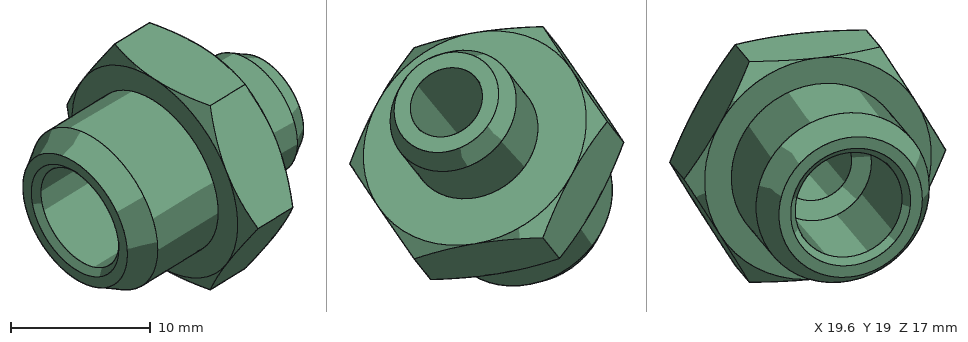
import cadquery as cq
import math

across_corners = 19.63
across_flats = across_corners * math.cos(math.radians(30))
hex_width = 5.0
hex_chamfer_angle = 30.0

front_length = 7.99
front_radius = 6.5
front_taper_length = 1.95
rear_length = 6.0
rear_radius = 4.8
rear_taper_length = 1.43
taper_angle = 30.0

through_radius = 2.75
counterbore_radius = 4.0
counterbore_depth = 7.99
counterbore_floor_angle = 59.0
mouth_radius = 4.5
mouth_angle = 45.0

hex_front = -hex_width / 2
hex_rear = hex_width / 2
front_end = hex_front - front_length
rear_end = hex_rear + rear_length


def tangent(angle):
    return math.tan(math.radians(angle))


def revolve_profile(points):
    """Turn a closed (radius, y) outline about the Y axis."""
    return cq.Workplane("XY").polyline(points).close().revolve(360, (0, 0, 0), (0, 1, 0))


def make_hexagon():
    """Hexagonal prism with both ends chamfered down to the flats."""
    prism = (
        cq.Workplane("XZ", origin=(0, hex_rear, 0))
        .polygon(6, across_corners)
        .extrude(hex_width)
    )
    flat_radius = across_flats / 2
    corner_radius = across_corners / 2
    chamfer_depth = (corner_radius - flat_radius) * tangent(hex_chamfer_angle)
    envelope = revolve_profile([
        (0, hex_front),
        (flat_radius, hex_front),
        (corner_radius, hex_front + chamfer_depth),
        (corner_radius, hex_rear - chamfer_depth),
        (flat_radius, hex_rear),
        (0, hex_rear),
    ])
    return prism.intersect(envelope)


def make_spigots():
    """Front and rear cylinders with tapered ends, joined through the hexagon."""
    front_tip_radius = front_radius - front_taper_length * tangent(taper_angle)
    rear_tip_radius = rear_radius - rear_taper_length * tangent(taper_angle)
    return revolve_profile([
        (0, front_end),
        (front_tip_radius, front_end),
        (front_radius, front_end + front_taper_length),
        (front_radius, 0),
        (rear_radius, 0),
        (rear_radius, rear_end - rear_taper_length),
        (rear_tip_radius, rear_end),
        (0, rear_end),
    ])


def make_bore():
    """Through hole with a cone-bottomed counterbore and a chamfered mouth at the front."""
    mouth_depth = (mouth_radius - counterbore_radius) / tangent(mouth_angle)
    floor_start = front_end + counterbore_depth
    floor_depth = (counterbore_radius - through_radius) / tangent(counterbore_floor_angle)
    return revolve_profile([
        (0, front_end),
        (mouth_radius, front_end),
        (counterbore_radius, front_end + mouth_depth),
        (counterbore_radius, floor_start),
        (through_radius, floor_start + floor_depth),
        (through_radius, rear_end),
        (0, rear_end),
    ])


result = make_hexagon().union(make_spigots()).cut(make_bore())